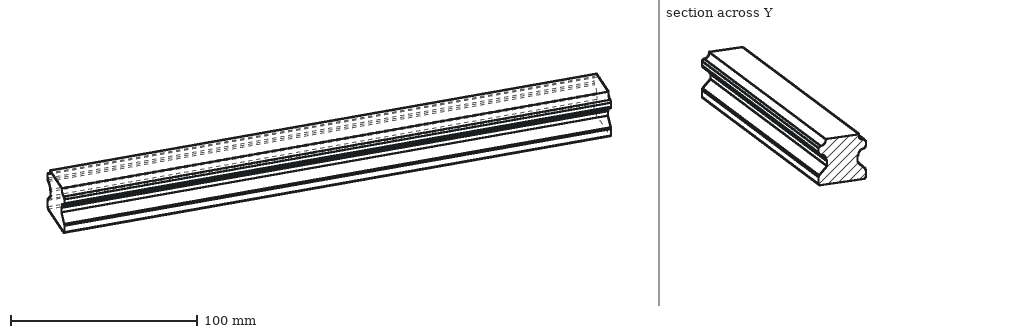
import cadquery as cq
import math

LENGTH = 310.0
WIDTH = 28.0
HEIGHT = 26.0

HALF_WIDTH = WIDTH / 2

EDGE_BEVEL_WIDTH = 0.3
EDGE_BEVEL_HEIGHT = 1.0
HALF_BEVELED = HALF_WIDTH - EDGE_BEVEL_WIDTH

BASE_CHAMFER = 1.0
BASE_SIDE_TOP_Z = 5.0
SHOULDER_Z = BASE_SIDE_TOP_Z + EDGE_BEVEL_HEIGHT

HALF_WAIST = 9.0
WAIST_BOTTOM_Z = SHOULDER_Z + HALF_BEVELED - HALF_WAIST
WAIST_TOP_Z = 13.3
WAIST_BEVEL_WIDTH = 0.5
WAIST_BEVEL_HEIGHT = 1.0

HEAD_CHAMFER_WIDTH = 1.1
HEAD_BOTTOM_Z = 17.5
HEAD_SIDE_BOTTOM_Z = 19.0
HEAD_SIDE_TOP_Z = 21.5
HEAD_TOP_Z = 22.5
HALF_HEAD_LEDGE = HALF_WIDTH - HEAD_CHAMFER_WIDTH

HALF_TOP = 10.0
UPPER_GROOVE_RADIUS = 2.5

CAP_DIAMETER = 14.0
CAP_DEPTH = 3.0
CAP_COUNT = 4
CAP_PITCH = 80.0


def half_profile():
    """Cross-section of the +X half of the rail, drawn in the XZ plane."""
    groove_end = (HALF_WAIST + WAIST_BEVEL_WIDTH, WAIST_TOP_Z + WAIST_BEVEL_HEIGHT)
    groove_width = HALF_HEAD_LEDGE - groove_end[0]
    groove_height = HEAD_BOTTOM_Z - groove_end[1]
    groove_middle = (
        HALF_HEAD_LEDGE - groove_width * math.sqrt(0.5),
        groove_end[1] + groove_height * math.sqrt(0.5),
    )
    upper_center_x = HALF_TOP + UPPER_GROOVE_RADIUS
    upper_center_z = HEAD_TOP_Z + UPPER_GROOVE_RADIUS
    upper_middle = (
        upper_center_x - UPPER_GROOVE_RADIUS * math.sqrt(0.5),
        upper_center_z - UPPER_GROOVE_RADIUS * math.sqrt(0.5),
    )

    return (
        cq.Workplane("XZ")
        .moveTo(0, 0)
        .lineTo(HALF_WIDTH - BASE_CHAMFER, 0)
        .lineTo(HALF_WIDTH, BASE_CHAMFER)
        .lineTo(HALF_WIDTH, BASE_SIDE_TOP_Z)
        .lineTo(HALF_BEVELED, SHOULDER_Z)
        .lineTo(HALF_WAIST, WAIST_BOTTOM_Z)
        .lineTo(HALF_WAIST, WAIST_TOP_Z)
        .lineTo(*groove_end)
        .threePointArc(groove_middle, (HALF_HEAD_LEDGE, HEAD_BOTTOM_Z))
        .lineTo(HALF_BEVELED, HEAD_SIDE_BOTTOM_Z - EDGE_BEVEL_HEIGHT)
        .lineTo(HALF_WIDTH, HEAD_SIDE_BOTTOM_Z)
        .lineTo(HALF_WIDTH, HEAD_SIDE_TOP_Z)
        .lineTo(HALF_HEAD_LEDGE, HEAD_TOP_Z)
        .lineTo(upper_center_x, HEAD_TOP_Z)
        .threePointArc(upper_middle, (HALF_TOP, upper_center_z))
        .lineTo(HALF_TOP, HEIGHT)
        .lineTo(0, HEIGHT)
        .close()
    )


def make_rail():
    """Full rail: the half section extruded along Y and mirrored about X = 0."""
    half = half_profile().extrude(LENGTH / 2, both=True)
    return half.union(half.mirror("YZ")).clean()


def make_caps():
    """Row of cap cylinders whose upper faces lie in the top face of the rail."""
    return (
        cq.Workplane("XY", origin=(0, 0, HEIGHT - CAP_DEPTH))
        .rarray(3, CAP_PITCH, 1, CAP_COUNT)
        .circle(CAP_DIAMETER / 2)
        .extrude(CAP_DEPTH)
    )


result = make_rail().union(make_caps(), clean=False)